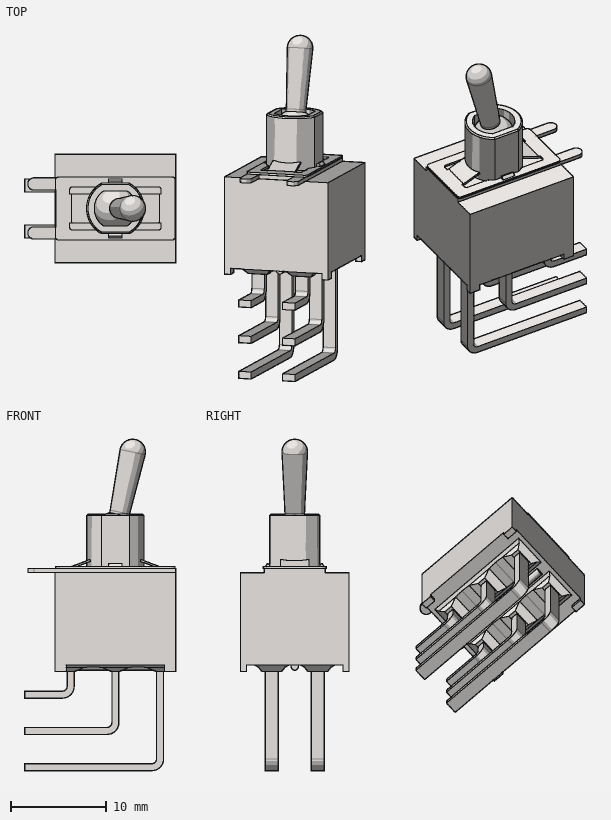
import cadquery as cq
import math


OVERALL_X = 15.88
OVERALL_Z = 34.85

BODY_X = 12.70
BODY_Y = 11.43
BODY_BOTTOM = -10.40
FOOT_HEIGHT = 0.66
FOOT_X = 1.20
FOOT_Y = 0.66
UNDERSIDE = BODY_BOTTOM + FOOT_HEIGHT

BRACKET_THICKNESS = 0.43
BRACKET_START_X = -6.24
BRACKET_Y = 6.46
TAB_WIDTH = 1.30
TAB_END_X = -9.20
COVER_THICKNESS = 0.21
COVER_X = 12.58
COVER_Y = 6.66
COVER_CORNER = 0.35
COVER_TOP = BRACKET_THICKNESS + COVER_THICKNESS

WINDOW_OUTER_X = 4.80
WINDOW_INNER_X = 1.90
WINDOW_Y = 4.50
WINDOW_CORNER = 0.25
FOLD_X = 4.62
TONGUE_Y = 3.04
TONGUE_END_X = 2.68
TONGUE_ANGLE = 20.8
LIP_X = 1.42
LIP_OUTER_Y = 3.10
LIP_TIP_Y = 2.87
LIP_HEIGHT = 0.33
LIP_INNER_HEIGHT = 0.23

BUSHING_RADIUS = 3.03
BUSHING_FLATS = 5.30
BUSHING_TOP = 6.13
BUSHING_CHAMFER = 0.15
BORE_RADIUS = 2.22
BORE_FLATS = 3.68

PIVOT_Z = 4.13
BALL_RADIUS = 2.26
LEVER_TILT = 12.0
LEVER_TOP = 14.02
LEVER_CAP_RADIUS = 1.36
LEVER_ROOT_RADIUS = 1.05
LEVER_REACH = (LEVER_TOP - LEVER_CAP_RADIUS - PIVOT_Z) / math.cos(math.radians(LEVER_TILT))

COLUMNS = (-1, 0, 1)
ROWS = (-0.5, 0.5)
PIN_PITCH_X = 4.70
PIN_PITCH_Y = 4.83
PIN_THICKNESS = 0.76
PIN_WIDTH = 1.38
PIN_END_X = BODY_X / 2 - OVERALL_X
PIN_BEND_RADIUS = 1.25
PIN_LEVEL_STEP = 3.81
LOWEST_PIN_Z = LEVER_TOP - OVERALL_Z

SEAL_TIP_X = 0.90
SEAL_TIP_Y = 2.08
SEAL_WAIST_X = 2.80
SEAL_WAIST_Y = 2.80
SEAL_BASE_X = 16.0
SEAL_BASE_Y = 3.56
SEAL_WAIST_DEPTH = 0.22
SEAL_END_SPREAD = 0.75
RIDGE_WIDTH = 0.82
RIDGE_DEPTH = 0.54
RIDGE_LENGTH = 2 * PIN_PITCH_X + SEAL_TIP_X

OVERLAP = 0.5


def block(x_range, y_range, z_range):
    """Axis-aligned box given by its limits."""
    lows, highs = zip(x_range, y_range, z_range)
    sizes = [high - low for low, high in zip(lows, highs)]
    return cq.Workplane("XY").box(*sizes, centered=False).translate(lows)


def centred_block(size_x, size_y, bottom, top):
    """Box centred on the Z axis between two heights."""
    return block((-size_x / 2, size_x / 2), (-size_y / 2, size_y / 2), (bottom, top))


def flatted_cylinder(radius, flats, bottom, top):
    """Cylinder about Z with two flats facing -Y and +Y."""
    cylinder = cq.Workplane("XY").workplane(offset=bottom).circle(radius).extrude(top - bottom)
    return cylinder.intersect(centred_block(2 * radius, flats, bottom, top))


def make_housing():
    """Box with four corner feet left by clearances along both directions."""
    housing = centred_block(BODY_X, BODY_Y, BODY_BOTTOM, 0)
    clear_x = centred_block(BODY_X, BODY_Y - 2 * FOOT_Y, BODY_BOTTOM, UNDERSIDE)
    clear_y = centred_block(BODY_X - 2 * FOOT_X, BODY_Y, BODY_BOTTOM, UNDERSIDE)
    return housing.cut(clear_x).cut(clear_y)


def make_bracket():
    """Flat strap with two round-ended tabs pointing to -X."""
    bracket = block(
        (BRACKET_START_X, BODY_X / 2),
        (-BRACKET_Y / 2, BRACKET_Y / 2),
        (0, BRACKET_THICKNESS),
    )
    tab_radius = TAB_WIDTH / 2
    tab_end_centre_x = TAB_END_X + tab_radius
    for side in (-1, 1):
        tab_y = side * (BRACKET_Y / 2 - tab_radius)
        tab = block(
            (tab_end_centre_x, BRACKET_START_X + OVERLAP),
            (tab_y - tab_radius, tab_y + tab_radius),
            (0, BRACKET_THICKNESS),
        )
        tab_end = cq.Workplane("XY", origin=(tab_end_centre_x, tab_y, 0)).circle(tab_radius)
        bracket = bracket.union(tab).union(tab_end.extrude(BRACKET_THICKNESS))
    return bracket


def make_tongue():
    """Tongue on the +X side, folded up from the cover plate to the bushing."""
    slope = math.tan(math.radians(TONGUE_ANGLE))
    rise = (FOLD_X - TONGUE_END_X) * slope
    shift_x = COVER_THICKNESS * math.sin(math.radians(TONGUE_ANGLE))
    shift_z = COVER_THICKNESS * math.cos(math.radians(TONGUE_ANGLE))
    profile = [
        (WINDOW_OUTER_X, BRACKET_THICKNESS),
        (WINDOW_OUTER_X, COVER_TOP),
        (FOLD_X, COVER_TOP),
        (TONGUE_END_X, COVER_TOP + rise),
        (TONGUE_END_X - shift_x, COVER_TOP + rise - shift_z),
        (FOLD_X - shift_x, BRACKET_THICKNESS),
    ]
    return cq.Workplane("XZ").polyline(profile).close().extrude(TONGUE_Y / 2, both=True)


def make_lip():
    """Short lip turned up against the +Y flat of the bushing."""
    inner_y = BUSHING_FLATS / 2 - OVERLAP
    profile = [
        (inner_y, BRACKET_THICKNESS),
        (LIP_OUTER_Y, BRACKET_THICKNESS),
        (LIP_OUTER_Y, COVER_TOP),
        (LIP_TIP_Y, COVER_TOP + LIP_HEIGHT),
        (BUSHING_FLATS / 2, COVER_TOP + LIP_INNER_HEIGHT),
        (inner_y, COVER_TOP + LIP_INNER_HEIGHT),
    ]
    return cq.Workplane("YZ").polyline(profile).close().extrude(LIP_X / 2, both=True)


def make_cover():
    """Thin plate with a window and tongue on each side of the bushing."""
    cover = centred_block(COVER_X, COVER_Y, BRACKET_THICKNESS, COVER_TOP)
    cover = cover.edges("|Z").fillet(COVER_CORNER)
    window = block(
        (WINDOW_INNER_X, WINDOW_OUTER_X),
        (-WINDOW_Y / 2, WINDOW_Y / 2),
        (BRACKET_THICKNESS, COVER_TOP),
    )
    window = window.edges("|Z and >X").fillet(WINDOW_CORNER)
    tongue = make_tongue()
    cover = cover.cut(window).cut(window.mirror("YZ"))
    cover = cover.union(tongue).union(tongue.mirror("YZ"))
    lip = make_lip()
    return cover.union(lip).union(lip.mirror("XZ"))


def make_bushing():
    """Flatted bushing, chamfered on top, with a flatted bore down to the pivot."""
    bushing = flatted_cylinder(BUSHING_RADIUS, BUSHING_FLATS, BRACKET_THICKNESS, BUSHING_TOP)
    bushing = bushing.faces(">Z").chamfer(BUSHING_CHAMFER)
    return bushing.cut(flatted_cylinder(BORE_RADIUS, BORE_FLATS, PIVOT_Z, BUSHING_TOP))


def make_ball():
    """Upper part of the pivot ball, seated in the bore."""
    seat = flatted_cylinder(BORE_RADIUS, BORE_FLATS, PIVOT_Z, PIVOT_Z + BALL_RADIUS)
    return cq.Workplane("XY").sphere(BALL_RADIUS).translate((0, 0, PIVOT_Z)).intersect(seat)


def make_lever():
    """Round-ended tapered lever, tilted towards +X about the pivot."""
    cap_mid = LEVER_CAP_RADIUS * math.sqrt(0.5)
    profile = (
        cq.Workplane("XZ")
        .lineTo(LEVER_ROOT_RADIUS, 0)
        .lineTo(LEVER_ROOT_RADIUS, BALL_RADIUS)
        .lineTo(LEVER_CAP_RADIUS, LEVER_REACH)
        .threePointArc((cap_mid, LEVER_REACH + cap_mid), (0, LEVER_REACH + LEVER_CAP_RADIUS))
        .close()
    )
    lever = profile.revolve(360, (0, 0, 0), (0, 1, 0))
    return lever.rotate((0, 0, 0), (0, 1, 0), LEVER_TILT).translate((0, 0, PIVOT_Z))


def make_terminal(x, y, level):
    """L-shaped terminal: down from the housing at x, then out to -X at level."""
    outer_x = x + PIN_THICKNESS / 2
    inner_x = x - PIN_THICKNESS / 2
    inner_radius = PIN_BEND_RADIUS - PIN_THICKNESS
    root_z = UNDERSIDE + OVERLAP
    bend_x = outer_x - PIN_BEND_RADIUS
    bend_z = level + PIN_BEND_RADIUS
    outer_mid = PIN_BEND_RADIUS * math.sqrt(0.5)
    inner_mid = inner_radius * math.sqrt(0.5)
    profile = (
        cq.Workplane("XZ", origin=(0, y, 0))
        .moveTo(outer_x, root_z)
        .lineTo(outer_x, bend_z)
        .threePointArc((bend_x + outer_mid, bend_z - outer_mid), (bend_x, level))
        .lineTo(PIN_END_X, level)
        .lineTo(PIN_END_X, level + PIN_THICKNESS)
        .lineTo(bend_x, level + PIN_THICKNESS)
        .threePointArc((bend_x + inner_mid, bend_z - inner_mid), (inner_x, bend_z))
        .lineTo(inner_x, root_z)
        .close()
    )
    return profile.extrude(PIN_WIDTH / 2, both=True)


def taper(x, y, top, bottom, top_size, bottom_size):
    """Rectangular frustum between two heights."""
    return (
        cq.Workplane("XY", origin=(x, y, top))
        .rect(*top_size)
        .workplane(offset=bottom - top)
        .rect(*bottom_size)
        .loft()
    )


def make_mound(x, y):
    """Sealing compound around one terminal: steep at the tip, flat at the base."""
    base = (SEAL_BASE_X, SEAL_BASE_Y)
    waist = (SEAL_WAIST_X, SEAL_WAIST_Y)
    tip = (SEAL_TIP_X, SEAL_TIP_Y)
    waist_z = UNDERSIDE - SEAL_WAIST_DEPTH
    skirt = taper(x, y, UNDERSIDE, waist_z, base, waist)
    return skirt.union(taper(x, y, waist_z, BODY_BOTTOM, waist, tip))


def make_seal(y):
    """Sealing compound of one terminal row: merged mounds with sloping row ends."""
    tip_length = 2 * PIN_PITCH_X + SEAL_TIP_X
    base_length = tip_length + 2 * SEAL_END_SPREAD
    row_ends = taper(0, 0, UNDERSIDE, BODY_BOTTOM, (base_length, BODY_Y), (tip_length, BODY_Y))
    seal = cq.Workplane("XY")
    for column in COLUMNS:
        seal = seal.union(make_mound(column * PIN_PITCH_X, y))
    return seal.intersect(row_ends)


def make_ridge():
    """Elliptical ridge of compound between the terminal rows, half sunk in the housing."""
    profile = cq.Workplane("YZ", origin=(0, 0, UNDERSIDE)).ellipse(RIDGE_WIDTH / 2, RIDGE_DEPTH)
    return profile.extrude(RIDGE_LENGTH / 2, both=True)


result = make_housing().union(make_bracket()).union(make_cover())
result = result.union(make_bushing()).union(make_ball()).union(make_lever())
result = result.union(make_ridge())
for row in ROWS:
    row_y = row * PIN_PITCH_Y
    result = result.union(make_seal(row_y))
    for column in COLUMNS:
        pin_x = column * PIN_PITCH_X
        pin_level = LOWEST_PIN_Z + (1 - column) * PIN_LEVEL_STEP
        result = result.union(make_terminal(pin_x, row_y, pin_level))